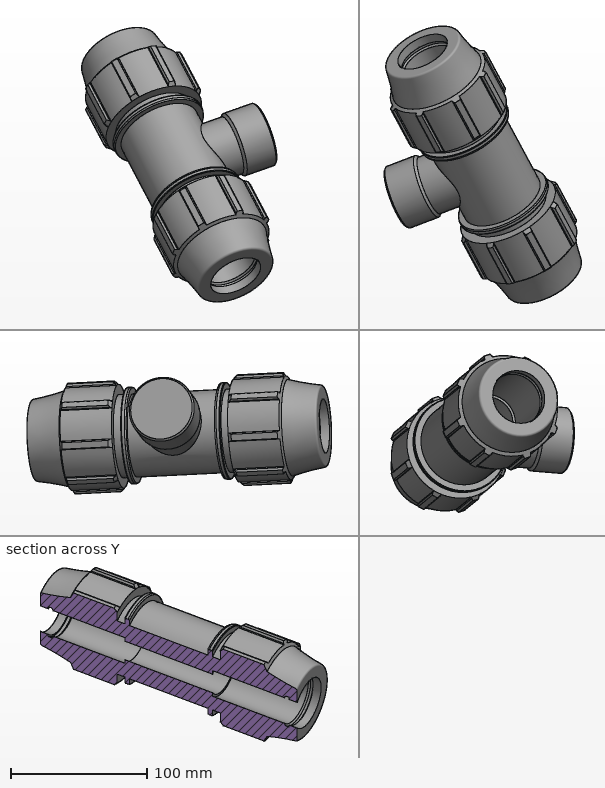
import cadquery as cq
LENGTH = 217.0
BODY_DIAMETER = 61.5
BORE_DIAMETER = 36.0
SOCKET_DIAMETER = 40.0
GROOVE_START = 7.0
GROOVE_WIDTH = 4.0
GROOVE_DEPTH = 1.3

NOSE_FACE_RADIUS = 28.6
NOSE_RIM_RADIUS = 30.4
NOSE_ROUND_LENGTH = 1.5
NOSE_LENGTH = 25.4
NOSE_BASE_RADIUS = 35.5
NOSE_HOLLOW = 0.5

NUT_RADIUS = 38.2
NUT_END = 65.0
NUT_CHAMFER_LENGTH = 1.3
RIB_COUNT = 8
RIB_RADIUS = 40.8
RIB_TOP_WIDTH = 4.8
RIB_WIDTH = 6.3
RIB_SHOULDER_RADIUS = 39.0

RING_DIAMETER = 71.5
RING_START = 71.5
RING_WIDTH = 4.1
RING_EDGE_DROP = 0.5
RING_OUTER_EDGE_LENGTH = 0.7
RING_INNER_EDGE_LENGTH = 1.3

BRANCH_REACH = 69.9
NECK_DIAMETER = 44.7
COLLAR_DIAMETER = 48.5
COLLAR_LENGTH = 24.3
COLLAR_TAPER_LENGTH = 2.0
COLLAR_CHAMFER = 1.3

END_X = -LENGTH / 2
BODY_RADIUS = BODY_DIAMETER / 2
NOSE_END_X = END_X + NOSE_LENGTH
NUT_END_X = END_X + NUT_END


def cylinder_along_x(radius, start, length):
    return cq.Workplane("YZ", origin=(start, 0, 0)).circle(radius).extrude(length)


def revolve_about_x(profile):
    return profile.close().revolve(360, (0, 0, 0), (1, 0, 0))


def make_nose():
    """End sleeve with a rounded rim and a slightly hollow flare."""
    rim_x = END_X + NOSE_ROUND_LENGTH
    flare_middle = ((rim_x + NOSE_END_X) / 2, (NOSE_RIM_RADIUS + NOSE_BASE_RADIUS) / 2 - NOSE_HOLLOW)
    profile = (
        cq.Workplane("XY")
        .moveTo(END_X, 0)
        .lineTo(END_X, NOSE_FACE_RADIUS)
        .tangentArcPoint((rim_x, NOSE_RIM_RADIUS), relative=False)
        .threePointArc(flare_middle, (NOSE_END_X, NOSE_BASE_RADIUS))
        .lineTo(NOSE_END_X, 0)
    )
    return revolve_about_x(profile)


def make_rib():
    """One grip rib with bevelled shoulders, along the +Z side of the nut."""
    half_top = RIB_TOP_WIDTH / 2
    half_width = RIB_WIDTH / 2
    outline = [
        (-half_width, NOSE_BASE_RADIUS),
        (half_width, NOSE_BASE_RADIUS),
        (half_width, RIB_SHOULDER_RADIUS),
        (half_top, RIB_RADIUS),
        (-half_top, RIB_RADIUS),
        (-half_width, RIB_SHOULDER_RADIUS),
    ]
    start = cq.Workplane("YZ", origin=(NOSE_END_X, 0, 0))
    return start.polyline(outline).close().extrude(NUT_END_X - NOSE_END_X)


def make_nut():
    """Nut with grip ribs, both cut back by sloping ends."""
    nut = cylinder_along_x(NUT_RADIUS, NOSE_END_X, NUT_END_X - NOSE_END_X)
    rib = make_rib()
    pitch = 360 / RIB_COUNT
    for index in range(RIB_COUNT):
        nut = nut.union(rib.rotate((0, 0, 0), (1, 0, 0), (index + 0.5) * pitch))

    envelope_radius = RIB_RADIUS + 2.2
    slope = NUT_CHAMFER_LENGTH / (NUT_RADIUS - NOSE_BASE_RADIUS)
    envelope = (
        cq.Workplane("XY")
        .moveTo(NOSE_END_X, 0)
        .lineTo(NOSE_END_X, NOSE_BASE_RADIUS)
        .lineTo(NOSE_END_X + slope * (envelope_radius - NOSE_BASE_RADIUS), envelope_radius)
        .lineTo(NUT_END_X - (envelope_radius - NUT_RADIUS), envelope_radius)
        .lineTo(NUT_END_X, NUT_RADIUS)
        .lineTo(NUT_END_X, 0)
    )
    return nut.intersect(revolve_about_x(envelope))


def make_ring():
    """Collar ring with bevelled edges, the longer bevel facing the branch."""
    radius = RING_DIAMETER / 2
    start_x = END_X + RING_START
    end_x = start_x + RING_WIDTH
    profile = (
        cq.Workplane("XY")
        .moveTo(start_x, 0)
        .lineTo(start_x, radius - RING_EDGE_DROP)
        .lineTo(start_x + RING_OUTER_EDGE_LENGTH, radius)
        .lineTo(end_x - RING_INNER_EDGE_LENGTH, radius)
        .lineTo(end_x, radius - RING_EDGE_DROP)
        .lineTo(end_x, 0)
    )
    return revolve_about_x(profile)


def make_branch():
    """Side branch: neck with a collar that tapers in below and is chamfered on top."""
    neck_radius = NECK_DIAMETER / 2
    collar_radius = COLLAR_DIAMETER / 2
    collar_y = BRANCH_REACH - COLLAR_LENGTH
    profile = (
        cq.Workplane("XY")
        .lineTo(neck_radius, 0)
        .lineTo(neck_radius, collar_y - COLLAR_TAPER_LENGTH)
        .lineTo(collar_radius, collar_y)
        .lineTo(collar_radius, BRANCH_REACH - COLLAR_CHAMFER)
        .lineTo(collar_radius - COLLAR_CHAMFER, BRANCH_REACH)
        .lineTo(0, BRANCH_REACH)
        .close()
    )
    return profile.revolve(360, (0, 0, 0), (0, 1, 0))


def make_socket():
    """Pipe socket ending in a flat stop below the ring, with a groove near its mouth.

    The inner side of the groove slopes at 45 degrees.
    """
    socket_radius = SOCKET_DIAMETER / 2
    groove_radius = socket_radius + GROOVE_DEPTH
    groove_x = END_X + GROOVE_START
    groove_end_x = groove_x + GROOVE_WIDTH
    stop_x = END_X + RING_START
    profile = (
        cq.Workplane("XY")
        .moveTo(END_X, 0)
        .lineTo(END_X, socket_radius)
        .lineTo(groove_x, socket_radius)
        .lineTo(groove_x, groove_radius)
        .lineTo(groove_end_x - GROOVE_DEPTH, groove_radius)
        .lineTo(groove_end_x, socket_radius)
        .lineTo(stop_x, socket_radius)
        .lineTo(stop_x, 0)
    )
    return revolve_about_x(profile)


def add_both_ends(part, feature):
    return part.union(feature).union(feature.mirror("YZ"))


body = cylinder_along_x(BODY_RADIUS, NOSE_END_X, -2 * NOSE_END_X)
body = body.union(make_branch())
body = add_both_ends(body, make_nose())
body = add_both_ends(body, make_nut())
body = add_both_ends(body, make_ring())

bore = cylinder_along_x(BORE_DIAMETER / 2, END_X, LENGTH)
result = body.cut(add_both_ends(bore, make_socket()))